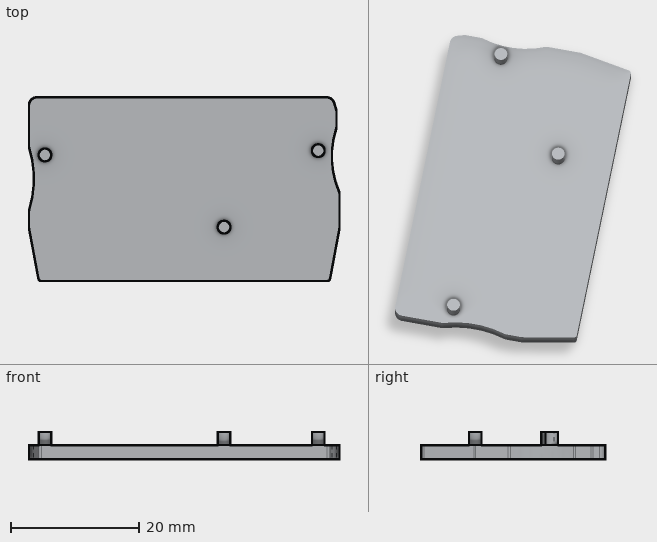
import cadquery as cq

length = 48.5
width = 28.7
total_height = 4.3
plate_thickness = 2.25

taper_inset = 1.55
taper_height = 8.35

left_grip_bottom = 11.0
left_grip_top = 20.9
left_grip_depth = 0.8

right_grip_bottom = 13.75
right_grip_top = 23.9
right_grip_waist = (47.3, 19.55)
shoulder_x = 48.0
shoulder_top = 26.65
shoulder_slope_run = 0.65

top_corner_radius = 1.3
bottom_corner_radius = 0.5
blend_radius = 0.95

pin_diameter = 2.0
pin_centers = [(2.5, 19.7), (30.45, 8.45), (45.15, 20.35)]

bottom_left = (taper_inset, 0)
bottom_right = (length - taper_inset, 0)
right_taper_top = (length, taper_height)
right_grip_start = (length, right_grip_bottom)
right_grip_end = (shoulder_x, right_grip_top)
shoulder_corner = (shoulder_x, shoulder_top)
top_right = (shoulder_x - shoulder_slope_run, width)
top_left = (0, width)
left_grip_start = (0, left_grip_top)
left_grip_middle = (left_grip_depth, (left_grip_bottom + left_grip_top) / 2)
left_grip_end = (0, left_grip_bottom)
left_taper_top = (0, taper_height)


def round_corners(body, corners, radius):
    """Round the upright plate edges standing at the given outline corners."""
    for x, y in corners:
        middle = (x, y, plate_thickness / 2)
        body = body.edges("|Z").edges(cq.NearestToPointSelector(middle)).fillet(radius)
    return body


plate = (
    cq.Workplane("XY")
    .moveTo(*bottom_left)
    .lineTo(*bottom_right)
    .lineTo(*right_taper_top)
    .lineTo(*right_grip_start)
    .threePointArc(right_grip_waist, right_grip_end)
    .lineTo(*shoulder_corner)
    .lineTo(*top_right)
    .lineTo(*top_left)
    .lineTo(*left_grip_start)
    .threePointArc(left_grip_middle, left_grip_end)
    .lineTo(*left_taper_top)
    .close()
    .extrude(plate_thickness)
)

plate = round_corners(plate, [top_left, top_right], top_corner_radius)
plate = round_corners(plate, [bottom_left, bottom_right], bottom_corner_radius)
blended_corners = [
    left_taper_top,
    left_grip_end,
    left_grip_start,
    right_taper_top,
    right_grip_start,
    right_grip_end,
    shoulder_corner,
]
plate = round_corners(plate, blended_corners, blend_radius)

pins = (
    cq.Workplane("XY")
    .pushPoints(pin_centers)
    .circle(pin_diameter / 2)
    .extrude(total_height)
)

result = plate.union(pins)